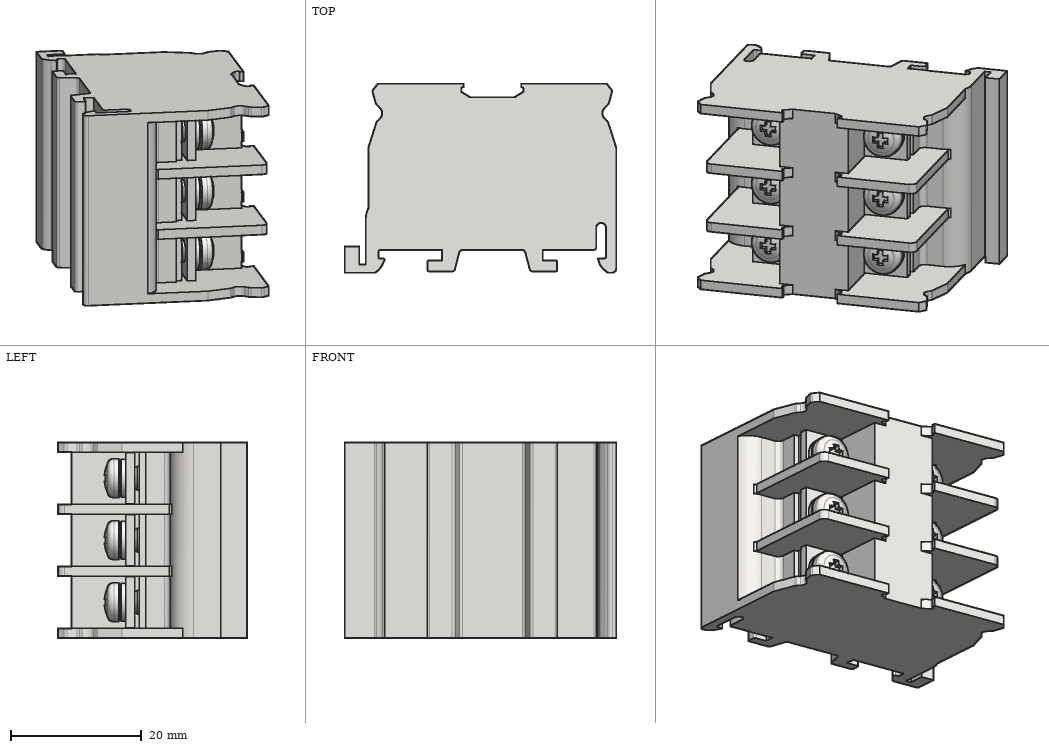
import cadquery as cq
import math

eighth_turn = math.sqrt(0.5)

total_width = 41.59
total_depth = 29.0
total_height = 30.0

plate_count = 4
plate_thickness = 1.5
plate_pitch = (total_height - plate_thickness) / (plate_count - 1)
bay_height = plate_pitch - plate_thickness

center_x = 22.6
side_half_width = total_width - center_x
divider_half_width = 16.85

base_floor_y = 3.5
foot_wall_x = 3.2
foot_lever_width = 2.25
foot_lever_top_y = 4.05
foot_groove_floor_y = 1.3
hook_lip_y = 2.2
hook_throat_x = 5.2
hook_throat_round = 0.3
hook_tip_x = 6.25
hook_tip_round = 0.2
hook_cheek_x = 5.42
hook_cheek_y = 0.55
hook_cheek_round = 3.0
foot_toe_x = 4.65
foot_toe_round = 0.5
claw_tip_y = 0.2
claw_lip_y = 1.93
claw_outer_reach = 9.95
claw_neck_reach = 7.73
claw_toe_reach = 5.8
claw_root_reach = 4.95
claw_round = 0.3
claw_toe_round = 0.5
claw_root_round = 0.5
latch_slot_left_x = 38.53
latch_slot_right_x = 40.0
latch_slot_width = latch_slot_right_x - latch_slot_left_x
latch_slot_top_y = 7.63
latch_slot_end_round = 0.49 * latch_slot_width
latch_slot_mouth_round = 0.4
latch_lip_round = 0.3
latch_tip_x = 38.75
latch_tip_round = 0.1
latch_cheek_x = 39.15
latch_cheek_y = 0.95
latch_cheek_round = 2.2
latch_toe_x = 40.3
latch_toe_round = 0.3
latch_heel_round = 0.65

side_taper_start_y = 19.2
grip_lower_x = 4.85
grip_upper_x = 4.75
grip_floor_x = 6.2
grip_center_y = 24.45
grip_lower_y = grip_center_y - (grip_floor_x - grip_lower_x)
grip_upper_y = grip_center_y + (grip_floor_x - grip_upper_x)
grip_floor_round = 1.2
grip_lower_round = 0.6
grip_upper_round = 0.8
ear_x = 4.2
ear_y = 27.9
ear_round = 0.5
ear_chamfer_x = 5.1

notch_floor_y = 26.92
notch_lip_y = 28.4
notch_bulge_y = 27.75
notch_mouth_half_width = 4.4
notch_bulge_half_width = 4.75
notch_floor_half_width = 3.4
notch_bulge_round = 0.2

shoulder_radius = 3.5
shoulder_start_y = 8.26
shoulder_top_y = shoulder_start_y + shoulder_radius
shoulder_center_x = foot_wall_x + shoulder_radius
shoulder_middle_offset = shoulder_radius * eighth_turn
shoulder_middle = (shoulder_center_x - shoulder_middle_offset, shoulder_start_y + shoulder_middle_offset)
bay_floor_round = 0.95
divider_flare_y = 11.9
divider_flare_foot_y = 11.5
divider_flare_reach = 0.3
divider_corner_round = 1.0

lower_wall_half_width = 12.4
lower_ledge_y = 15.55
upper_wall_half_width = 11.6
upper_ledge_y = 16.5
core_half_width = 5.5

terminal_bottom_y = 17.25
terminal_thickness = 1.32
terminal_top_y = terminal_bottom_y + terminal_thickness
terminal_outer_half_width = 12.4
terminal_height = 7.8

screw_half_spacing = 9.0
shank_radius = 1.7
thread_radius = 1.82
thread_top_y = 16.83
washer_radius = 2.9
washer_top_y = 19.3
neck_radius = 2.4
neck_y = 19.48
head_bottom_y = 19.66
head_radius = 2.97
head_dome_start_y = 20.45
crown_edge_radius = 2.1
crown_edge_y = 21.43
head_top_y = 21.93
drive_slot_width = 0.9
drive_slot_length = 2.4
drive_slot_depth = 1.0


def rounded_outline(corners):
    """Closed wire through (x, y, radius) corners; a zero radius leaves the corner sharp."""
    outline = None
    for index, (x, y, radius) in enumerate(corners):
        corner = cq.Vector(x, y)
        before = cq.Vector(*corners[index - 1][:2])
        after = cq.Vector(*corners[(index + 1) % len(corners)][:2])
        to_before = (before - corner).normalized()
        to_after = (after - corner).normalized()
        half_angle = to_before.getAngle(to_after) / 2
        setback = radius / math.tan(half_angle)
        arc_start = corner + to_before * setback
        if outline is None:
            outline = cq.Workplane("XY").moveTo(arc_start.x, arc_start.y)
        else:
            outline = outline.lineTo(arc_start.x, arc_start.y)
        if radius > 0:
            bisector = (to_before + to_after).normalized()
            arc_middle = corner + bisector * (radius / math.sin(half_angle) - radius)
            arc_end = corner + to_after * setback
            outline = outline.threePointArc((arc_middle.x, arc_middle.y), (arc_end.x, arc_end.y))
    return outline.close()


def mirrored(corners):
    """The same corners on the other side of the mirror plane, in reverse order."""
    return [(2 * center_x - x, y, radius) for x, y, radius in reversed(corners)]


def housing_outline():
    """Full outline of an end plate, clockwise from the corner of the foot lever."""
    left_foot = [
        (0, 0, 0),
        (0, foot_lever_top_y, 0),
        (foot_lever_width, foot_lever_top_y, 0),
        (foot_lever_width, foot_groove_floor_y, 0),
        (foot_wall_x, foot_groove_floor_y, 0),
        (foot_wall_x, shoulder_start_y, 0),
        (center_x - side_half_width, shoulder_start_y, 0),
    ]
    left_edge = [
        (center_x - side_half_width, side_taper_start_y, 0),
        (grip_lower_x, grip_lower_y, grip_lower_round),
        (grip_floor_x, grip_center_y, grip_floor_round),
        (grip_upper_x, grip_upper_y, grip_upper_round),
        (ear_x, ear_y, ear_round),
        (ear_chamfer_x, total_depth, 0),
    ]
    left_notch = [
        (center_x - notch_mouth_half_width, total_depth, 0),
        (center_x - notch_mouth_half_width, notch_lip_y, 0),
        (center_x - notch_bulge_half_width, notch_lip_y, notch_bulge_round),
        (center_x - notch_bulge_half_width, notch_bulge_y, notch_bulge_round),
        (center_x - notch_floor_half_width, notch_floor_y, 0),
    ]
    latch = [
        (total_width, 0, latch_heel_round),
        (latch_toe_x, 0, latch_toe_round),
        (latch_cheek_x, latch_cheek_y, latch_cheek_round),
        (latch_tip_x, hook_lip_y, latch_tip_round),
        (latch_slot_right_x, hook_lip_y, latch_lip_round),
        (latch_slot_right_x, latch_slot_top_y, latch_slot_end_round),
        (latch_slot_left_x, latch_slot_top_y, latch_slot_end_round),
        (latch_slot_left_x, base_floor_y, latch_slot_mouth_round),
    ]
    right_claw = [
        (center_x + claw_neck_reach, base_floor_y, 0),
        (center_x + claw_neck_reach, claw_lip_y, 0),
        (center_x + claw_outer_reach, claw_lip_y, claw_round),
        (center_x + claw_outer_reach, claw_tip_y, claw_round),
        (center_x + claw_toe_reach, claw_tip_y, claw_toe_round),
        (center_x + claw_root_reach, base_floor_y, claw_root_round),
    ]
    left_hook = [
        (hook_throat_x, base_floor_y, hook_throat_round),
        (hook_throat_x, hook_lip_y, hook_tip_round),
        (hook_tip_x, hook_lip_y, hook_tip_round),
        (hook_cheek_x, hook_cheek_y, hook_cheek_round),
        (foot_toe_x, 0, foot_toe_round),
    ]
    return (
        left_foot
        + left_edge
        + left_notch
        + mirrored(left_notch)
        + mirrored(left_edge)
        + latch
        + right_claw
        + mirrored(right_claw)
        + left_hook
    )


def on_both_sides(solid):
    """A left-hand solid together with its mirror image."""
    return solid.union(solid.mirror("YZ", (center_x, 0, 0)))


def left_shoulder():
    """Quarter-round shoulder that carries the foot wall past both end plates."""
    return (
        cq.Workplane("XY")
        .moveTo(foot_wall_x, shoulder_start_y)
        .threePointArc(shoulder_middle, (shoulder_center_x, shoulder_top_y))
        .lineTo(shoulder_center_x, shoulder_start_y)
        .close()
        .extrude(total_height)
    )


def side_space():
    """Open space of all left bays, together with the layer above the core top."""
    lower_wall_x = center_x - lower_wall_half_width
    upper_wall_x = center_x - upper_wall_half_width
    core_x = center_x - core_half_width
    fillet_offset = bay_floor_round * (1 - eighth_turn)
    return (
        cq.Workplane("XY")
        .moveTo(foot_wall_x, shoulder_start_y)
        .threePointArc(shoulder_middle, (shoulder_center_x, shoulder_top_y))
        .lineTo(lower_wall_x - bay_floor_round, shoulder_top_y)
        .threePointArc(
            (lower_wall_x - fillet_offset, shoulder_top_y + fillet_offset),
            (lower_wall_x, shoulder_top_y + bay_floor_round),
        )
        .lineTo(lower_wall_x, lower_ledge_y)
        .lineTo(upper_wall_x, lower_ledge_y)
        .lineTo(upper_wall_x, upper_ledge_y)
        .lineTo(core_x, upper_ledge_y)
        .lineTo(core_x, notch_floor_y)
        .lineTo(center_x, notch_floor_y)
        .lineTo(center_x, total_depth)
        .lineTo(foot_wall_x, total_depth)
        .close()
        .extrude(total_height - 2 * plate_thickness)
    )


def divider():
    """Thin wall between two bays, narrower than the end plates and flared at its root."""
    edge_x = center_x - divider_half_width
    wall = rounded_outline([
        (center_x, shoulder_start_y, 0),
        (edge_x - divider_flare_reach, shoulder_start_y, 0),
        (edge_x - divider_flare_reach, divider_flare_foot_y, 0),
        (edge_x, divider_flare_y, 0),
        (edge_x, total_depth, divider_corner_round),
        (center_x, total_depth, 0),
    ]).extrude(plate_thickness)
    return on_both_sides(wall)


def screw_on_axis():
    """Pan-head screw with washer on the Y axis, with a cross recess in its crown."""
    dome_rise = crown_edge_y - head_dome_start_y
    dome_inset = head_radius - crown_edge_radius
    dome_middle = (
        crown_edge_radius + dome_inset * eighth_turn,
        head_dome_start_y + dome_rise * eighth_turn,
    )
    crown_rise = head_top_y - crown_edge_y
    crown_middle = (crown_edge_radius / 2, crown_edge_y + 0.75 * crown_rise)
    body = (
        cq.Workplane("XY")
        .moveTo(0, upper_ledge_y)
        .lineTo(thread_radius, upper_ledge_y)
        .lineTo(thread_radius, thread_top_y)
        .lineTo(shank_radius, thread_top_y)
        .lineTo(shank_radius, terminal_top_y)
        .lineTo(washer_radius, terminal_top_y)
        .lineTo(washer_radius, washer_top_y)
        .lineTo(neck_radius, neck_y)
        .lineTo(head_radius, head_bottom_y)
        .lineTo(head_radius, head_dome_start_y)
        .threePointArc(dome_middle, (crown_edge_radius, crown_edge_y))
        .threePointArc(crown_middle, (0, head_top_y))
        .close()
        .revolve(360, (0, 0, 0), (0, 1, 0))
    )
    slot_center_y = head_top_y - drive_slot_depth / 2
    for size_x, size_z in (
        (drive_slot_length, drive_slot_width),
        (drive_slot_width, drive_slot_length),
    ):
        slot = cq.Workplane("XY").box(size_x, drive_slot_depth, size_z)
        body = body.cut(slot.translate((0, slot_center_y, 0)))
    return body


def terminal():
    """Left terminal strip with its screw and washer, centred on Z = 0."""
    strip_length = terminal_outer_half_width - core_half_width
    strip = cq.Workplane("XY").box(
        strip_length, terminal_thickness, terminal_height, centered=(False, False, True)
    ).translate((center_x - terminal_outer_half_width, terminal_bottom_y, 0))
    screw = screw_on_axis().translate((center_x - screw_half_spacing, 0, 0))
    return strip.union(screw)


def terminal_block():
    """Housing with open bays on both sides, dividers between them and a terminal pair in each."""
    housing = rounded_outline(housing_outline()).extrude(total_height)
    divider_wall = divider().intersect(housing)
    terminals = on_both_sides(terminal())
    side_spaces = on_both_sides(side_space())
    block = housing.cut(side_spaces.translate((0, 0, plate_thickness)))
    block = block.union(left_shoulder())
    for divider_index in range(1, plate_count - 1):
        block = block.union(divider_wall.translate((0, 0, divider_index * plate_pitch)))
    for bay_index in range(plate_count - 1):
        bay_middle_z = plate_thickness + bay_height / 2 + bay_index * plate_pitch
        block = block.union(terminals.translate((0, 0, bay_middle_z)))
    return block


result = terminal_block()